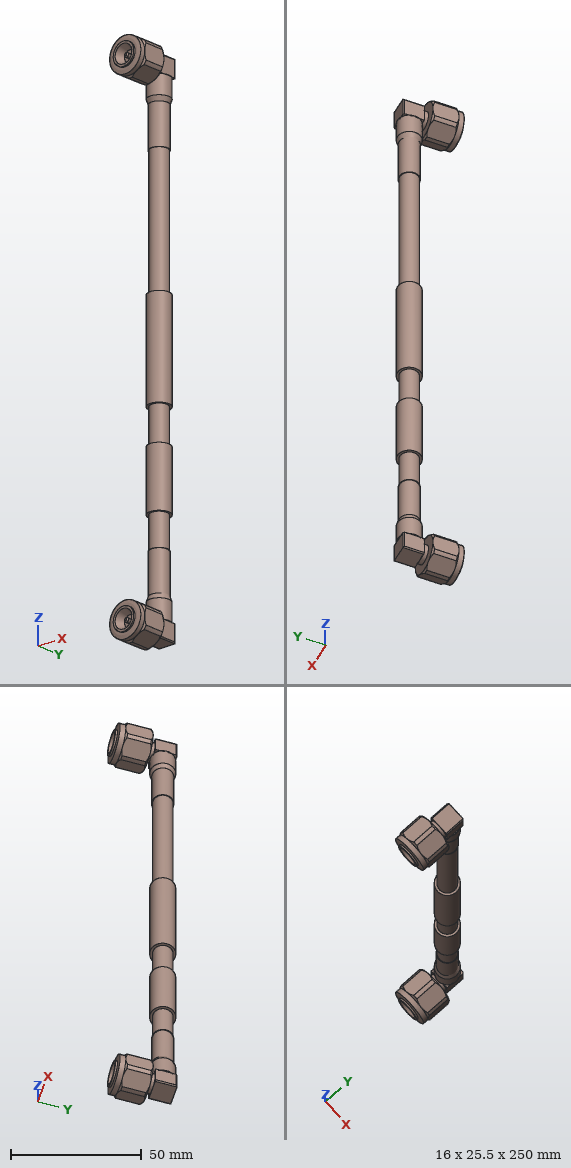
import cadquery as cq
import math


cable_radius = 4.0
cable_half_length = 82.5
sleeve_radius = 5.0
sleeve_spans = [(-23.0, 23.0), (-67.5, -39.5)]

overall_height = 250.0
ferrule_radius = 4.2
barrel_radius = 5.0
barrel_end = 101.2
barrel_cone_height = 2.2

block_width = 9.0
block_height = 8.0
block_back = 4.5
block_front = -4.2
block_chamfer = 0.5
neck_radius = block_height / 2

nut_flats = 16.0
nut_corner_radius = 8.7
nut_back = -6.2
hex_front = -17.2
nut_front = -19.7
hex_chamfer = 0.7
collar_radius = nut_flats / 2
nut_face_radius = 6.5
face_cone_height = 0.2
nut_axis_height = overall_height / 2 - nut_corner_radius

rim_front = -20.5
rim_radius = 5.2
socket_mouth_radius = 4.2
socket_floor_radius = 2.7
socket_depth = 3.7
contact_radius = 1.0
contact_length = 2.5
contact_chamfer = 0.5


def rod(radius, bottom, top):
    """Round bar on the Z axis between two heights."""
    return cq.Workplane("XY").workplane(offset=bottom).circle(radius).extrude(top - bottom)


def forward_rod(radius, back, front):
    """Round bar on the nut axis, from y = back toward -Y to y = front."""
    return (
        cq.Workplane("XZ", origin=(0, back, nut_axis_height)).circle(radius).extrude(back - front)
    )


def make_sleeve(bottom, top):
    return rod(sleeve_radius, bottom, top).cut(rod(cable_radius, bottom, top))


def make_barrel():
    """Ferrule and barrel, with a cone where the barrel meets the ferrule."""
    cone_top = barrel_end + barrel_cone_height
    profile = [
        (0, cable_half_length),
        (ferrule_radius, cable_half_length),
        (ferrule_radius, barrel_end),
        (barrel_radius, cone_top),
        (barrel_radius, nut_axis_height - block_height / 2),
        (0, nut_axis_height - block_height / 2),
    ]
    return cq.Workplane("XZ").polyline(profile).close().revolve(360, (0, 0, 0), (0, 1, 0))


def make_block():
    """Elbow block with its upper side edges and its upright back edges chamfered."""
    block = cq.Workplane("XY").box(block_width, block_back - block_front, block_height)
    block = block.edges("(|Y and >Z) or (|Z and >Y)").chamfer(block_chamfer)
    return block.translate((0, (block_back + block_front) / 2, nut_axis_height))


def make_nut():
    """Hexagon with turned corners, and a round collar in front of it."""
    hexagon = (
        cq.Workplane("XZ", origin=(0, nut_back, nut_axis_height))
        .polygon(6, nut_flats / math.cos(math.pi / 6))
        .extrude(nut_back - hex_front)
        .rotate((0, 0, nut_axis_height), (0, 1, nut_axis_height), 30)
    )
    turned = forward_rod(nut_corner_radius, nut_back, hex_front).edges().chamfer(hex_chamfer)
    face_cone_width = collar_radius - nut_face_radius
    collar = forward_rod(collar_radius, hex_front, nut_front)
    collar = collar.faces("<Y").chamfer(face_cone_height, face_cone_width)
    return hexagon.intersect(turned).union(collar)


def make_socket():
    """Cutter for the socket, which narrows from the rim to its floor."""
    return (
        cq.Workplane("XZ", origin=(0, rim_front + socket_depth, nut_axis_height))
        .circle(socket_floor_radius)
        .workplane(offset=socket_depth)
        .circle(socket_mouth_radius)
        .loft(ruled=True)
    )


def make_contact():
    """Centre pin standing on the socket floor."""
    floor = rim_front + socket_depth
    pin = forward_rod(contact_radius, floor, floor - contact_length)
    return pin.faces("<Y").chamfer(contact_chamfer)


def make_connector():
    """Upper connector."""
    neck = forward_rod(neck_radius, block_front, nut_back)
    rim = forward_rod(rim_radius, nut_front, rim_front)
    body = make_barrel().union(make_block()).union(neck).union(make_nut()).union(rim)
    return body.cut(make_socket()).union(make_contact())


cable = rod(cable_radius, -cable_half_length, cable_half_length)
sleeves = [make_sleeve(bottom, top) for bottom, top in sleeve_spans]
connectors = [make_connector().rotate((0, 0, 0), (0, 1, 0), turn) for turn in (0, 180)]

result = cq.Compound.makeCompound([cable.val()] + [body.val() for body in sleeves + connectors])